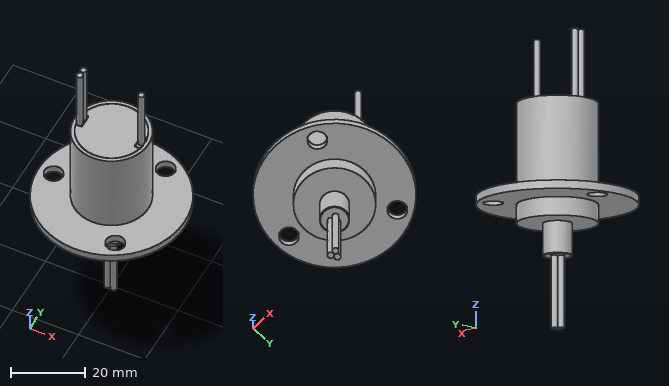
import cadquery as cq
import math

housing_diameter = 22.2
housing_height = 33.1

flange_diameter = 44.0
flange_thickness = 2.3
flange_bottom = 5.1
screw_hole_count = 3
screw_hole_diameter = 5.4
screw_circle_radius = 17.5
first_screw_angle = 60.0

neck_diameter = 8.0
neck_length = 9.0
neck_chamfer = 0.2

recess_diameter = 19.9
recess_depth = 0.1
pocket_inner_offset = 8.0
pocket_inner_width = 4.0
pocket_outer_width = 4.7
pocket_depth = 0.3

wire_diameter = 1.84
upper_wire_length = 18.9
upper_wire_offset = 9.02
upper_pair_pitch = 2.15
lower_wire_length = 19.9
lower_wire_pitch = 1.85
lower_wire_count = 3

recess_floor = housing_height - recess_depth
pocket_floor = recess_floor - pocket_depth


def cylinder(diameter, bottom, height, x=0.0, y=0.0):
    """Vertical cylinder whose lower face is centred on (x, y, bottom)."""
    return cq.Workplane("XY", origin=(x, y, bottom)).circle(diameter / 2).extrude(height)


def flange():
    disc = cylinder(flange_diameter, flange_bottom, flange_thickness)
    for index in range(screw_hole_count):
        angle = math.radians(first_screw_angle + index * 360 / screw_hole_count)
        x = screw_circle_radius * math.cos(angle)
        y = screw_circle_radius * math.sin(angle)
        disc = disc.cut(cylinder(screw_hole_diameter, flange_bottom, flange_thickness, x, y))
    return disc


def neck():
    return cylinder(neck_diameter, -neck_length, neck_length).faces("<Z").chamfer(neck_chamfer)


def wire_notch(side):
    """Tapered cutter with a straight inner edge, reaching out to the housing surface."""
    inner_y = pocket_inner_width / 2
    outer_y = pocket_outer_width / 2
    corners = [
        (side * pocket_inner_offset, -inner_y),
        (side * housing_diameter / 2, -outer_y),
        (side * housing_diameter / 2, outer_y),
        (side * pocket_inner_offset, inner_y),
    ]
    return (
        cq.Workplane("XY", origin=(0, 0, pocket_floor))
        .polyline(corners)
        .close()
        .extrude(pocket_depth)
    )


def cap():
    """Disc that fills the bored end of the housing up to the recess floor, notched for the wires."""
    disc = cylinder(recess_diameter, pocket_floor, pocket_depth)
    for side in (-1, 1):
        disc = disc.cut(wire_notch(side))
    return disc


def housing():
    body = cylinder(housing_diameter, 0, housing_height)
    body = body.cut(cylinder(recess_diameter, pocket_floor, housing_height - pocket_floor))
    return body.union(cap())


def upper_wires():
    """A pair of wires on the -X side and a single wire on the +X side."""
    places = [
        (-upper_wire_offset, upper_pair_pitch / 2),
        (-upper_wire_offset, -upper_pair_pitch / 2),
        (upper_wire_offset, 0),
    ]
    length = housing_height + upper_wire_length - pocket_floor
    return [cylinder(wire_diameter, pocket_floor, length, x, y) for x, y in places]


def lower_wires():
    """A triangular bundle of wires centred on the axis, one of them towards +Y."""
    bundle_radius = lower_wire_pitch / (2 * math.sin(math.pi / lower_wire_count))
    bottom = -neck_length - lower_wire_length
    wires = []
    for index in range(lower_wire_count):
        angle = math.radians(90 + index * 360 / lower_wire_count)
        x = bundle_radius * math.cos(angle)
        y = bundle_radius * math.sin(angle)
        wires.append(cylinder(wire_diameter, bottom, lower_wire_length, x, y))
    return wires


result = housing().union(flange()).union(neck())
for wire in upper_wires() + lower_wires():
    result = result.union(wire)